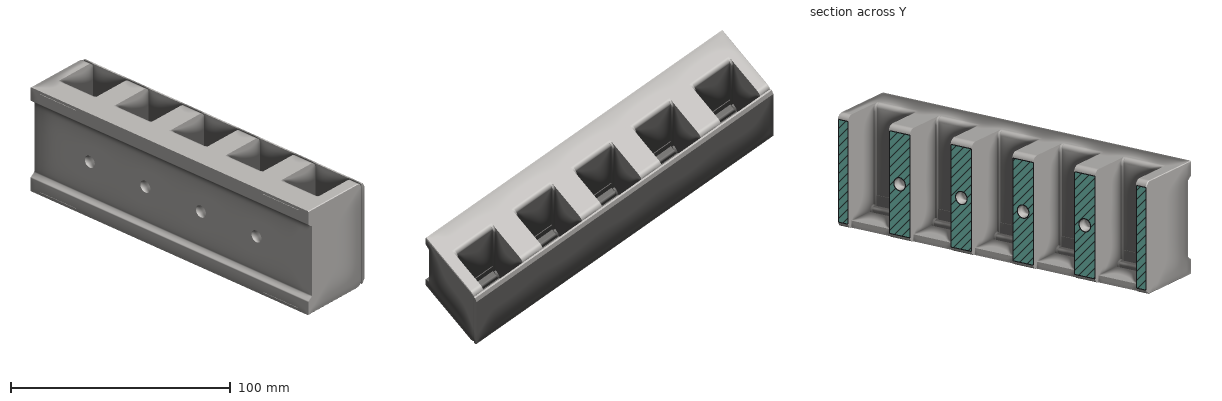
import cadquery as cq
import math


length = 170.0
height = 54.5
depth = 38.2
half_height = height / 2

plate_thickness = 2.0
plate_inset = 1.0
plate_edge_run = 1.2
plate_edge_drop = 2.2

housing_depth = depth - plate_thickness
back_fillet = 3.0
channel_lip = 7.1
channel_slope_height = 1.9
channel_depth = 2.5
channel_fillet = 0.7
end_chamfer = 0.3

pocket_count = 5
pocket_pitch = length / pocket_count
pocket_width = 22.5
pocket_front = 12.2
wall_round = 3.4
floor_thickness = 3.4
floor_back = 33.3
floor_front = 18.5
pocket_wall = pocket_front + wall_round
ledge_round = floor_front - pocket_wall
floor_top = -half_height + floor_thickness

recess_width = 20.4
recess_depth = 1.2
recess_round = wall_round - recess_depth
recess_wall = pocket_wall - recess_depth
recess_shoulder = 0.3
recess_shoulder_height = 5.1
recess_ledge_height = 2.0
recess_ledge_round = 1.0
floor_gap = 0.5
recess_ledge_back = floor_front - floor_gap

hole_diameter = 6.1

slit_length = 22.1
slit_height = 0.2
slit_depth = 0.5
slit_edge_distance = 1.5

diagonal = math.sqrt(0.5)


def pocket_centre(index):
    return (index - (pocket_count - 1) / 2) * pocket_pitch


def extrude_along_x(profile, width, centre=0):
    """Extrude a closed YZ profile evenly to both sides of an X position."""
    return profile.extrude(width / 2, both=True).translate((centre, 0, 0))


def make_blank():
    """Block with rounded back edges, chamfered ends and a channel with rounded slopes along the front."""
    lip = half_height - channel_lip
    channel_floor = lip - channel_slope_height
    profile = cq.Workplane("YZ").polyline(
        [
            (0, half_height),
            (0, lip),
            (channel_depth, channel_floor),
            (channel_depth, -channel_floor),
            (0, -lip),
            (0, -half_height),
            (housing_depth, -half_height),
            (housing_depth, half_height),
        ]
    ).close()
    block = extrude_along_x(profile, length).edges("|X and >Y").fillet(back_fillet)
    channel_corners = cq.selectors.BoxSelector(
        (-length, -channel_depth, -lip - channel_fillet),
        (length, 2 * channel_depth, lip + channel_fillet),
    )
    block = block.edges("|X").edges(channel_corners).fillet(channel_fillet)
    behind_channel = cq.selectors.BoxSelector(
        (-length, 2 * channel_depth, -height), (length, depth, height)
    )
    return block.faces("<X or >X").edges(behind_channel).chamfer(end_chamfer)


def make_pocket(centre):
    """Space open at the top and back, with a rounded front wall, a round ledge and a floor slot."""
    profile = (
        cq.Workplane("YZ")
        .moveTo(pocket_front, half_height)
        .threePointArc(
            (pocket_front + wall_round * diagonal, half_height - wall_round * (1 - diagonal)),
            (pocket_wall, half_height - wall_round),
        )
        .lineTo(pocket_wall, floor_top + ledge_round)
        .threePointArc(
            (pocket_wall + ledge_round * diagonal, floor_top + ledge_round * diagonal),
            (floor_front, floor_top),
        )
        .lineTo(floor_back, floor_top)
        .lineTo(floor_back, -half_height)
        .lineTo(housing_depth, -half_height)
        .lineTo(housing_depth, half_height)
        .close()
    )
    return extrude_along_x(profile, pocket_width, centre)


def make_recess(centre):
    """Narrower cut into the front wall, with a shoulder, a ledge and a gap through the floor."""
    ledge_top = floor_top + recess_ledge_height
    shoulder_top = ledge_top + recess_shoulder_height
    ledge_offset = recess_ledge_round * (1 - diagonal)
    profile = (
        cq.Workplane("YZ")
        .moveTo(pocket_front, half_height)
        .threePointArc(
            (pocket_front + recess_round * diagonal, half_height - recess_round * (1 - diagonal)),
            (recess_wall, half_height - recess_round),
        )
        .lineTo(recess_wall, shoulder_top)
        .lineTo(recess_wall + recess_shoulder, shoulder_top)
        .lineTo(recess_wall + recess_shoulder, ledge_top)
        .lineTo(recess_ledge_back - recess_ledge_round, ledge_top)
        .threePointArc(
            (recess_ledge_back - ledge_offset, ledge_top - ledge_offset),
            (recess_ledge_back, ledge_top - recess_ledge_round),
        )
        .lineTo(recess_ledge_back, -half_height)
        .lineTo(floor_front, -half_height)
        .lineTo(floor_front, half_height)
        .close()
    )
    return extrude_along_x(profile, recess_width, centre)


def make_screw_holes():
    """Through holes at mid-height, one in each wall between two pockets."""
    spots = [(pocket_centre(i) + pocket_pitch / 2, 0) for i in range(pocket_count - 1)]
    return cq.Workplane("XZ").pushPoints(spots).circle(hole_diameter / 2).extrude(-housing_depth)


def make_slits():
    """Four slits, near the top and bottom edges of the front face."""
    x = pocket_centre(pocket_count - 1)
    z = half_height - slit_edge_distance
    spots = [(sx * x, sz * z) for sx in (-1, 1) for sz in (-1, 1)]
    return cq.Workplane("XZ").pushPoints(spots).rect(slit_length, slit_height).extrude(-slit_depth)


def make_housing():
    body = make_blank()
    for index in range(pocket_count):
        body = body.cut(make_pocket(pocket_centre(index)))
        body = body.cut(make_recess(pocket_centre(index)))
    return body.cut(make_screw_holes()).cut(make_slits())


def make_plate():
    """Flat plate closing the back of the pockets, with eased rear edges."""
    top = half_height - plate_inset
    profile = (
        cq.Workplane("YZ")
        .moveTo(housing_depth, -top)
        .lineTo(depth - plate_edge_run, -top)
        .lineTo(depth, plate_edge_drop - top)
        .lineTo(depth, top - plate_edge_drop)
        .lineTo(depth - plate_edge_run, top)
        .lineTo(housing_depth, top)
        .close()
    )
    return extrude_along_x(profile, length)


housing = make_housing()
plate = make_plate()

result = cq.Compound.makeCompound([housing.val(), plate.val()])